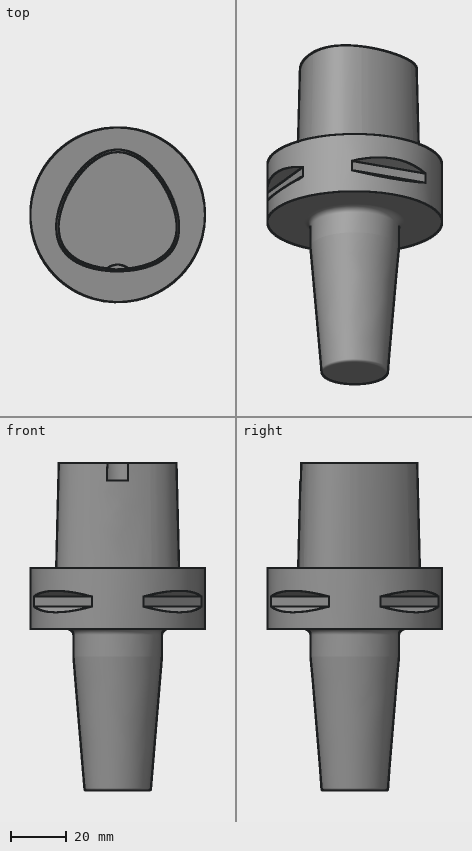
import cadquery as cq
import math

total_height = 118.0
shank_length = 37.8
flange_top = total_height - shank_length
flange_bottom = 58.2
cone_top = 48.1

flange_radius = 63.0 / 2
neck_radius = 32.0 / 2
tip_radius = 12.0
tip_fillet = 1.0
neck_fillet = 2.1

lobe_mean_radius = 22.0
lobe_eccentricity = 1.5
radius_taper = 1 / 40
lobe_faces = 6
points_per_face = 7

notch_width = 7.5
notch_depth = 6.4
notch_floor_y = -17.9
notch_arc_height = 1.4

groove_count = 4
groove_floor_offset = 27.8
groove_floor_height = 3.5
groove_center_z = 68.1
groove_wall_angle = 30.0


def make_flange_and_nose():
    """Revolve the flange, filleted neck and round-edged tapered nose about Z."""
    return (
        cq.Workplane("XZ")
        .lineTo(tip_radius - tip_fillet, 0)
        .radiusArc((tip_radius, tip_fillet), -tip_fillet)
        .lineTo(neck_radius, cone_top)
        .lineTo(neck_radius, flange_bottom - neck_fillet)
        .radiusArc((neck_radius + neck_fillet, flange_bottom), neck_fillet)
        .lineTo(flange_radius, flange_bottom)
        .lineTo(flange_radius, flange_top)
        .lineTo(0, flange_top)
        .close()
        .revolve(360, (0, 0, 0), (0, 1, 0))
    )


def lobe_point(angle, z):
    """Point on the hypotrochoid outline, with one lobe pointing to +Y."""
    radius = lobe_mean_radius - (z - flange_top) * radius_taper
    x = radius * math.sin(angle) - lobe_eccentricity * math.sin(2 * angle)
    y = radius * math.cos(angle) + lobe_eccentricity * math.cos(2 * angle)
    return cq.Vector(x, y, z)


def lobe_tangent(angle, z):
    """Derivative of the outline with respect to its angle."""
    radius = lobe_mean_radius - (z - flange_top) * radius_taper
    dx = radius * math.cos(angle) - 2 * lobe_eccentricity * math.cos(2 * angle)
    dy = -radius * math.sin(angle) - 2 * lobe_eccentricity * math.sin(2 * angle)
    return cq.Vector(dx, dy, 0)


def lobe_wire(z):
    """Closed outline of tangent-matched curves, one for each side face."""
    face_angle = 2 * math.pi / lobe_faces
    step = face_angle / (points_per_face - 1)
    edges = []
    for face in range(lobe_faces):
        start = (face + 0.5) * face_angle
        points = [lobe_point(start + i * step, z) for i in range(points_per_face)]
        tangents = [lobe_tangent(start, z), lobe_tangent(start + face_angle, z)]
        edges.append(cq.Edge.makeSpline(points, tangents=tangents))
    return cq.Wire.assembleEdges(edges)


def make_shank():
    """Join the base and top outlines with straight tapered sides."""
    return cq.Solid.makeLoft([lobe_wire(flange_top), lobe_wire(total_height)], True)


def make_notch():
    """Open-sided notch with an arched back wall."""
    half_width = notch_width / 2
    shoulder_y = notch_floor_y - notch_arc_height
    return (
        cq.Workplane("XY", origin=(0, 0, total_height - notch_depth))
        .moveTo(-half_width, -flange_radius)
        .lineTo(-half_width, shoulder_y)
        .threePointArc((0, notch_floor_y), (half_width, shoulder_y))
        .lineTo(half_width, -flange_radius)
        .close()
        .extrude(notch_depth)
    )


def make_groove():
    """Straight groove across the +X side, widening outward."""
    depth = flange_radius - groove_floor_offset
    half_floor = groove_floor_height / 2
    half_mouth = half_floor + depth * math.tan(math.radians(groove_wall_angle))
    return (
        cq.Workplane("XZ")
        .moveTo(groove_floor_offset, groove_center_z - half_floor)
        .lineTo(flange_radius, groove_center_z - half_mouth)
        .lineTo(flange_radius, groove_center_z + half_mouth)
        .lineTo(groove_floor_offset, groove_center_z + half_floor)
        .close()
        .extrude(flange_radius, both=True)
    )


result = make_flange_and_nose().union(cq.Workplane(make_shank())).cut(make_notch())

groove_pitch = 360 / groove_count
for index in range(groove_count):
    groove_angle = (index + 0.5) * groove_pitch
    result = result.cut(make_groove().rotate((0, 0, 0), (0, 0, 1), groove_angle))